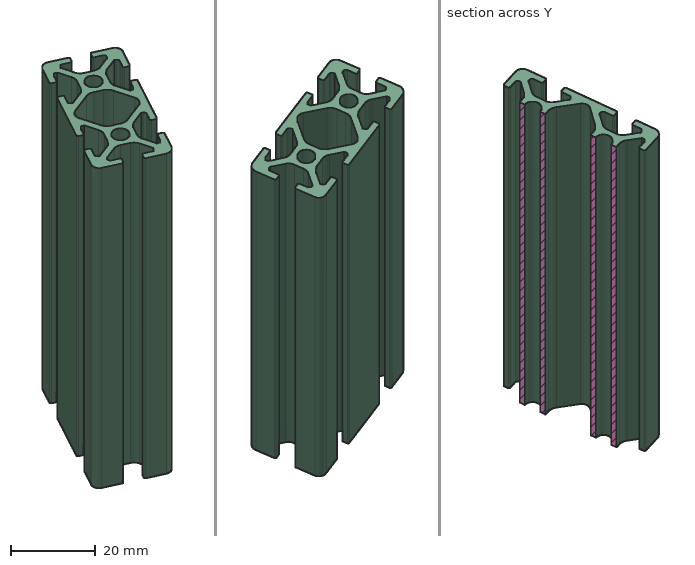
import cadquery as cq

cell = 20.0
width = 2 * cell
length = 100.0
corner_radius = 2.0

slot_opening = 5.1
slot_inner_width = 11.5
lip_thickness = 1.8
lip_edge_radius = 0.3
lip_tip_radius = 0.4
slot_corner_radius = 0.7

core_width = 7.3
core_half = core_width / 2
slot_web_offset = 1.3
chamber_web_offset = 1.2
core_blend_radius = 2.7
bore_diameter = 4.3

chamber_width = 12.7
chamber_half_width = chamber_width / 2
chamber_side_radius = 3.0
chamber_end_radius = 2.0

pick_reach = 0.01


def edges_at(solid, points):
    """Select the vertical edges that pass through the given XY points."""
    found = []
    for x, y in points:
        box = cq.selectors.BoxSelector(
            (x - pick_reach, y - pick_reach, 0),
            (x + pick_reach, y + pick_reach, length),
        )
        found += solid.edges("|Z").edges(box).vals()
    return solid.newObject(found)


def mirrored(points):
    """Close a left-to-right symmetric outline from its right half."""
    return points + [(-x, y) for x, y in reversed(points)]


def make_slot():
    """T-slot of a cell centred on the origin, open towards +Y."""
    face = cell / 2
    lip_inside = face - lip_thickness
    half_opening = slot_opening / 2
    half_inner = slot_inner_width / 2
    lip_corner = (half_opening, lip_inside)
    undercut_corner = (half_inner, lip_inside)
    floor_corner = (core_half - slot_web_offset, core_half)
    right_half = [
        (half_opening, face),
        lip_corner,
        undercut_corner,
        (half_inner, half_inner + slot_web_offset),
        floor_corner,
    ]
    slot = cq.Workplane("XY").polyline(mirrored(right_half)).close().extrude(length)
    slot = edges_at(slot, mirrored([undercut_corner])).fillet(slot_corner_radius)
    slot = edges_at(slot, mirrored([floor_corner])).fillet(core_blend_radius)
    return edges_at(slot, mirrored([lip_corner])).fillet(lip_edge_radius)


def lip_tip_points():
    """XY points where the sides of every slot opening meet the outer faces."""
    half_opening = slot_opening / 2
    points = []
    for offset in (-half_opening, half_opening):
        for side in (-1, 1):
            points.append((side * width / 2, offset))
            points.append((side * cell / 2 + offset, cell / 2))
            points.append((side * cell / 2 + offset, -cell / 2))
    return points


def make_chamber():
    """Six-sided chamber centred on the profile, with rounded corners."""
    end_corner_y = cell / 2 - chamber_web_offset
    side_corner_y = end_corner_y - chamber_half_width
    end_corners = [(0, end_corner_y), (0, -end_corner_y)]
    right_corners = [
        (chamber_half_width, side_corner_y),
        (chamber_half_width, -side_corner_y),
    ]
    left_corners = [(-x, -y) for x, y in right_corners]
    side_corners = right_corners + left_corners
    outline = [end_corners[0], *right_corners, end_corners[1], *left_corners]
    chamber = cq.Workplane("XY").polyline(outline).close().extrude(length)
    chamber = edges_at(chamber, side_corners).fillet(chamber_side_radius)
    return edges_at(chamber, end_corners).fillet(chamber_end_radius)


profile = cq.Workplane("XY").rect(width, cell).extrude(length)
profile = profile.edges("|Z").fillet(corner_radius)

slot = make_slot()
for side in (-1, 1):
    cell_centre = (side * cell / 2, 0, 0)
    for angle in (0, 180, -90 * side):
        turned_slot = slot.rotate((0, 0, 0), (0, 0, 1), angle)
        profile = profile.cut(turned_slot.translate(cell_centre))
    bore = cq.Workplane("XY").circle(bore_diameter / 2).extrude(length)
    profile = profile.cut(bore.translate(cell_centre))

profile = edges_at(profile, lip_tip_points()).fillet(lip_tip_radius)
result = profile.cut(make_chamber())